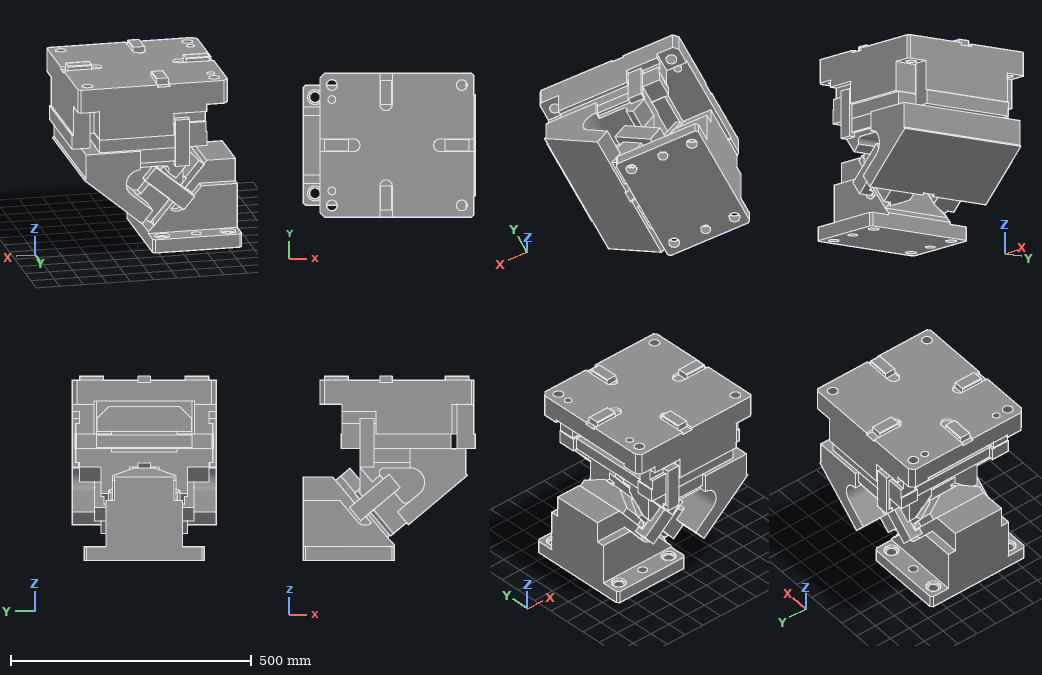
import cadquery as cq
import math

SLOPE_ANGLE = 50.0
COS_SLOPE = math.cos(math.radians(SLOPE_ANGLE))
SIN_SLOPE = math.sin(math.radians(SLOPE_ANGLE))
DOWN_SLOPE = (COS_SLOPE, 0, -SIN_SLOPE)
OUT_OF_SLOPE = (SIN_SLOPE, 0, COS_SLOPE)
SLOPE_PLANE = cq.Plane(origin=(0, 0, 0), xDir=DOWN_SLOPE, normal=OUT_OF_SLOPE)
REACH = 400.0


def slope_point(along, rise):
    """(x, z) of a point given in slope coordinates."""
    x = COS_SLOPE * along + SIN_SLOPE * rise
    z = COS_SLOPE * rise - SIN_SLOPE * along
    return (x, z)


def rise_at_x(rise, x):
    """(x, z) where the slope layer at this rise crosses the given x."""
    return (x, (rise - SIN_SLOPE * x) / COS_SLOPE)


def polar(center, radius, degrees):
    """(x, z) of a point on a circle in the XZ plane."""
    angle = math.radians(degrees)
    return (center[0] + radius * math.cos(angle), center[1] + radius * math.sin(angle))


def box(x0, x1, y0, y1, z0, z1):
    """Box between two corners."""
    return cq.Workplane().box(x1 - x0, y1 - y0, z1 - z0, centered=False).translate((x0, y0, z0))


def slope_box(along0, along1, y0, y1, rise0, rise1):
    """Box lined up with the slope."""
    plate = cq.Workplane(SLOPE_PLANE).center(along0, y0).workplane(offset=rise0)
    return plate.box(along1 - along0, y1 - y0, rise1 - rise0, centered=False)


def mirrored(shape):
    """The shape on the -Y side added to the one on the +Y side."""
    return shape.union(shape.mirror("XZ"))


def extrude_across(points, half_width):
    """XZ outline widened equally to both sides of the middle plane."""
    return cq.Workplane("XZ").polyline(points).close().extrude(half_width, both=True)


def extrude_along_slope(half_points, along0, along1):
    """Profile of (y, rise) points, mirrored in Y, drawn out along the slope."""
    points = half_points + [(-y, rise) for y, rise in reversed(half_points)]
    x, z = slope_point(along0, 0)
    plane = cq.Plane(origin=(x, 0, z), xDir=(0, 1, 0), normal=DOWN_SLOPE)
    return cq.Workplane(plane).polyline(points).close().extrude(along1 - along0)


RIDGE_START = -84.5
RIDGE_HALF = 66.0
RIDGE_BOTTOM = 159.0
RIDGE_SHOULDER = 173.5
ROOF_ANGLE = math.radians(30)
ROOF_TOP_HALF = 23.0


def roof_rise(y):
    """Rise of the ridge roof at a distance y from the middle plane."""
    return RIDGE_SHOULDER + (RIDGE_HALF - y) * math.tan(ROOF_ANGLE)


SLIDE_Z = 233.0
GUIDE_HALF = 141.75
GUIDE_INNER_HALF = 135.0
LEDGE_Z = 204.0
FRONT_X = 118.0
OUTER_HALF = 150.0

BASE_LENGTH = 190.0
BASE_PLATE_HALF = 125.0
BASE_PLATE_HEIGHT = 29.0
BASE_CORNER = 5.0
TOP_BLOCK_HALF = 61.5
TOP_BLOCK_HEIGHT = 174.0
LOW_BLOCK_HALF = 80.0
LOW_BLOCK_HEIGHT = 125.0
WIDE_RIDGE_START = -20.0
HOOK_POCKET_RADIUS = 20.0
HOOK_POCKET_CENTER = 11.4
RIDGE_END_X = 178.0
BASE_HOLE_INSET = 25.0
BASE_HOLE_Y = 100.0
BASE_BOLT_DIAMETER = 22.0
BASE_COUNTERBORE_DIAMETER = 31.0
BASE_COUNTERBORE_DEPTH = 5.0
BASE_DOWEL_X = 92.0
BASE_DOWEL_DIAMETER = 20.0


def ridge_profile(half_width):
    """One half of the ridge section, as (y, rise) points."""
    return [
        (half_width, RIDGE_BOTTOM),
        (half_width, roof_rise(half_width)),
        (ROOF_TOP_HALF, roof_rise(ROOF_TOP_HALF)),
    ]


def make_base():
    plate = box(0, BASE_LENGTH, -BASE_PLATE_HALF, BASE_PLATE_HALF, 0, BASE_PLATE_HEIGHT)
    plate = plate.edges("|Z").chamfer(BASE_CORNER)

    ridge_end = rise_at_x(roof_rise(LOW_BLOCK_HALF), RIDGE_END_X)
    slope_foot = (BASE_LENGTH, ridge_end[1] - (BASE_LENGTH - RIDGE_END_X))
    slope_start = rise_at_x(RIDGE_BOTTOM, RIDGE_END_X)
    top_x = (RIDGE_BOTTOM - COS_SLOPE * TOP_BLOCK_HEIGHT) / SIN_SLOPE
    top_block = extrude_across(
        [
            (0, 0),
            (BASE_LENGTH, 0),
            slope_foot,
            ridge_end,
            slope_start,
            (top_x, TOP_BLOCK_HEIGHT),
            (0, TOP_BLOCK_HEIGHT),
        ],
        TOP_BLOCK_HALF,
    )

    pocket_rise = RIDGE_BOTTOM - HOOK_POCKET_RADIUS
    pocket_center = slope_point(HOOK_POCKET_CENTER, RIDGE_BOTTOM)
    shoulder_x = (pocket_rise - COS_SLOPE * LOW_BLOCK_HEIGHT) / SIN_SLOPE
    low_block = (
        cq.Workplane("XZ")
        .moveTo(0, 0)
        .lineTo(BASE_LENGTH, 0)
        .lineTo(*slope_foot)
        .lineTo(*ridge_end)
        .lineTo(*slope_start)
        .lineTo(*slope_point(HOOK_POCKET_CENTER + HOOK_POCKET_RADIUS, RIDGE_BOTTOM))
        .threePointArc(
            polar(pocket_center, HOOK_POCKET_RADIUS, -SLOPE_ANGLE - 45),
            slope_point(HOOK_POCKET_CENTER, pocket_rise),
        )
        .lineTo(shoulder_x, LOW_BLOCK_HEIGHT)
        .lineTo(0, LOW_BLOCK_HEIGHT)
        .close()
        .extrude(LOW_BLOCK_HALF, both=True)
    )

    ridge = extrude_along_slope(ridge_profile(RIDGE_HALF), RIDGE_START, WIDE_RIDGE_START)
    wide_ridge = extrude_along_slope(ridge_profile(LOW_BLOCK_HALF), WIDE_RIDGE_START, REACH)
    ridge = ridge.union(wide_ridge)
    ridge = ridge.intersect(box(0, RIDGE_END_X, -REACH, REACH, 0, REACH))

    base = plate.union(top_block).union(low_block).union(ridge)

    bolts = [
        (x, y)
        for x in (BASE_HOLE_INSET, BASE_LENGTH - BASE_HOLE_INSET)
        for y in (-BASE_HOLE_Y, BASE_HOLE_Y)
    ]
    dowels = [(BASE_DOWEL_X, -BASE_HOLE_Y), (BASE_DOWEL_X, BASE_HOLE_Y)]
    on_plate = cq.Workplane().workplane(offset=BASE_PLATE_HEIGHT)
    sinks = on_plate.pushPoints(bolts).circle(BASE_COUNTERBORE_DIAMETER / 2).extrude(-BASE_COUNTERBORE_DEPTH)
    shanks = on_plate.pushPoints(bolts).circle(BASE_BOLT_DIAMETER / 2).extrude(-BASE_PLATE_HEIGHT)
    pins = on_plate.pushPoints(dowels).circle(BASE_DOWEL_DIAMETER / 2).extrude(-BASE_PLATE_HEIGHT)
    return base.cut(sinks).cut(shanks).cut(pins)


SLIDER_BACK_X = 338.7
SLIDER_NOSE_X = 342.0
WING_END = 84.0
WING_RISE = 215.5
WAIST_HALF = 90.0
WAIST_RISE = 180.3
WAIST_END = 78.0
SLOT_START = -33.0
SLOT_END = 48.5
SLOT_TOP_Z = 192.7
SLOT_RADIUS = 30.0
POCKET_RADIUS = 10.0
POCKET_RISE = 236.5
POCKET_LOW_Z = 119.8
POCKET_FLOOR = 60.0
RECESS_BOTTOM_Z = 150.0
PAD_START = -39.0
PAD_OUTER_HALF = 69.0
PAD_THICKNESS = 10.0
PAD_INNER_HALF = 31.0
GROOVE_RISE = 215.5
KEYWAY_HALF = 13.0
KEYWAY_RISE = 221.0
TOP_GROOVE_HALF = 68.5
TOP_GROOVE_DEPTH = 7.0
TOP_GROOVE_END_X = 300.0
CLAMP_START = -22.5
CLAMP_END = 13.5
CLAMP_OUTER = 103.0
CLAMP_LOW_RISE = 145.0
CLAMP_FOOT_RISE = 157.0
CLAMP_HIGH_RISE = 252.5
CLAMP_FOOT_HALF = 72.5
CLAMP_LOW_HALF = 84.0
CLAMP_HEAD_HALF = 82.0


def slider_body():
    nose = (SLIDER_NOSE_X, (COS_SLOPE * SLIDER_NOSE_X - WING_END) / SIN_SLOPE)
    nose_top = (SLIDER_BACK_X, nose[1] + SLIDER_NOSE_X - SLIDER_BACK_X)
    wings = extrude_across(
        [
            (FRONT_X, SLIDE_Z),
            (SLIDER_BACK_X, SLIDE_Z),
            nose_top,
            nose,
            slope_point(WING_END, WING_RISE),
            rise_at_x(WING_RISE, FRONT_X),
        ],
        OUTER_HALF,
    )
    waist = extrude_across(
        [
            rise_at_x(WING_RISE, FRONT_X),
            slope_point(WAIST_END, WING_RISE),
            slope_point(WAIST_END, WAIST_RISE),
            rise_at_x(WAIST_RISE, FRONT_X),
        ],
        WAIST_HALF,
    )
    return wings.union(waist)


def clamp_pocket_outline():
    """Outline of the pocket that holds the clamp heads, and the x where its large round meets its top."""
    along = SLOT_END - SLOT_RADIUS
    center_z = SLOT_TOP_Z - SLOT_RADIUS
    big = ((along + SIN_SLOPE * center_z) / COS_SLOPE, center_z)
    small_z = SLOT_TOP_Z - POCKET_RADIUS
    small = ((POCKET_RISE + POCKET_RADIUS - COS_SLOPE * small_z) / SIN_SLOPE, small_z)
    floor_angle = 270 - SLOPE_ANGLE
    low_wall_x = (SLOT_END + SIN_SLOPE * POCKET_LOW_Z) / COS_SLOPE
    low_floor_x = (POCKET_RISE - COS_SLOPE * POCKET_LOW_Z) / SIN_SLOPE
    outline = (
        cq.Workplane("XZ")
        .moveTo(low_wall_x, POCKET_LOW_Z)
        .lineTo(*polar(big, SLOT_RADIUS, -SLOPE_ANGLE))
        .threePointArc(polar(big, SLOT_RADIUS, (90 - SLOPE_ANGLE) / 2), polar(big, SLOT_RADIUS, 90))
        .lineTo(small[0], SLOT_TOP_Z)
        .threePointArc(
            polar(small, POCKET_RADIUS, (90 + floor_angle) / 2),
            polar(small, POCKET_RADIUS, floor_angle),
        )
        .lineTo(low_floor_x, POCKET_LOW_Z)
        .close()
    )
    return outline, big[0]


def make_slider():
    slider = slider_body()

    outline, recess_end_x = clamp_pocket_outline()
    pocket = outline.extrude(-REACH).intersect(box(0, REACH, POCKET_FLOOR, REACH, 0, REACH))
    slot_top_rise = (POCKET_LOW_Z + SIN_SLOPE * SLOT_END) / COS_SLOPE
    slot = slope_box(SLOT_START, SLOT_END, WAIST_HALF, REACH, WAIST_RISE, slot_top_rise)
    slider = slider.cut(mirrored(pocket.union(slot)))

    above_ledge = box(0, recess_end_x, GUIDE_HALF, REACH, LEDGE_Z, REACH)
    below_ledge = box(0, recess_end_x, GUIDE_INNER_HALF, REACH, RECESS_BOTTOM_Z, LEDGE_Z)
    slider = slider.cut(mirrored(above_ledge)).cut(mirrored(below_ledge))

    pad_edge = (
        PAD_OUTER_HALF + PAD_THICKNESS * math.sin(ROOF_ANGLE),
        roof_rise(PAD_OUTER_HALF) + PAD_THICKNESS * math.cos(ROOF_ANGLE),
    )
    pad_top = (PAD_INNER_HALF, roof_rise(PAD_INNER_HALF) + PAD_THICKNESS / math.cos(ROOF_ANGLE))
    pad_profile = [(PAD_OUTER_HALF, roof_rise(PAD_OUTER_HALF)), pad_edge, pad_top]
    slider = slider.cut(extrude_along_slope(pad_profile, -REACH, PAD_START))
    pads = extrude_along_slope(pad_profile, PAD_START, WAIST_END)
    groove = extrude_along_slope(
        [
            (PAD_OUTER_HALF, RIDGE_BOTTOM),
            (PAD_OUTER_HALF, roof_rise(PAD_OUTER_HALF)),
            (PAD_INNER_HALF, roof_rise(PAD_INNER_HALF)),
            (PAD_INNER_HALF, GROOVE_RISE),
            (KEYWAY_HALF, GROOVE_RISE),
            (KEYWAY_HALF, KEYWAY_RISE),
        ],
        -REACH,
        REACH,
    )
    slider = slider.union(pads).cut(groove)

    slider = slider.cut(
        box(0, TOP_GROOVE_END_X, -TOP_GROOVE_HALF, TOP_GROOVE_HALF, SLIDE_Z - TOP_GROOVE_DEPTH, REACH)
    )

    stem = slope_box(CLAMP_START, CLAMP_END, WAIST_HALF, CLAMP_OUTER, WAIST_RISE, CLAMP_HIGH_RISE)
    low_stem = slope_box(CLAMP_START, CLAMP_END, CLAMP_LOW_HALF, CLAMP_OUTER, CLAMP_LOW_RISE, WAIST_RISE)
    foot = slope_box(CLAMP_START, CLAMP_END, CLAMP_FOOT_HALF, CLAMP_OUTER, CLAMP_LOW_RISE, CLAMP_FOOT_RISE)
    head = slope_box(CLAMP_START, CLAMP_END, CLAMP_HEAD_HALF, CLAMP_OUTER, POCKET_RISE, CLAMP_HIGH_RISE)
    clamp = stem.union(low_stem).union(foot).union(head)
    return slider.union(mirrored(clamp))


HOLDER_FRONT_X = 35.0
HOLDER_BACK_X = 355.0
HOLDER_TOP_Z = 375.0
HOLDER_PLATE_Z = 325.0
FRONT_CORNER = 10.0
BACK_CORNER = 5.0
NECK_FRONT_X = 81.0
NECK_BACK_X = 310.0
GUIDE_TOP_Z = 263.0
GUIDE_FRONT_X = 79.0
GUIDE_BACK_X = 308.0
CHANNEL_HALF = 99.5
CHANNEL_MOUTH_HALF = 104.5
CHANNEL_TOP_Z = 331.5
CHANNEL_FLARE_X = 98.0
CHANNEL_BACK_X = 300.0
RAIL_FRONT_X = 88.0
RAIL_CLEARANCE = 1.7
COLUMN_FRONT_X = 320.0
COLUMN_HALF = 105.5
COLUMN_LIP_X = 358.48
STOP_HALF = 98.4
STOP_TOP_Z = 320.5
STOP_BOTTOM_Z = 268.5
STOP_CORNER = 25.0
STOP_THICKNESS = 10.0
CLIP_POCKET_BACK_X = 151.5
CLIP_POCKET_TOP_Z = 310.0
CLIP_SHELF_Z = 285.0
CLIP_WIDTH = 30.0
CLIP_TOP_Z = 295.5
CLIP_BOTTOM_Z = 194.5
CLIP_STEM_INNER = 143.3
CLIP_FOOT_INNER = 136.5
HOLE_FRONT_X = 60.0
HOLE_BACK_X = 330.0
HOLE_Y = 125.0
HOLE_DIAMETER = 22.0
DOWEL_Y = 95.0
DOWEL_DIAMETER = 16.0
KEY_WIDTH = 26.0
KEY_LENGTH = 50.0
KEY_TOP_Z = 384.0
KEY_CHAMFER = 1.5
KEYWAY_DEPTH = 5.0
KEY_CENTER_X = 172.5
END_SLOT_LENGTH = 83.5
END_KEY_SETBACK = 9.5
SIDE_SLOT_LENGTH = 78.0
SIDE_KEY_SETBACK = 15.5


def add_key(holder, edge, slot_length, setback, angle):
    """Round-ended slot running in from an edge of the plate, with a key in it.

    The edge is a distance from the crossing point of the keys, and the angle turns the slot about it.
    """
    floor_z = HOLDER_TOP_Z - KEYWAY_DEPTH
    half = KEY_WIDTH / 2
    round_x = edge - slot_length + half
    slot = box(round_x, edge, -half, half, floor_z, HOLDER_TOP_Z)
    slot_end = cq.Workplane().center(round_x, 0).workplane(offset=floor_z).circle(half).extrude(KEYWAY_DEPTH)
    key_end = edge - setback
    key = box(key_end - KEY_LENGTH, key_end, -half, half, floor_z, KEY_TOP_Z)
    key = key.edges(">Z and |X").chamfer(KEY_CHAMFER)

    def place(shape):
        return shape.rotate((0, 0, 0), (0, 0, 1), angle).translate((KEY_CENTER_X, 0, 0))

    return holder.cut(place(slot.union(slot_end))).union(place(key))


def make_holder():
    plate = box(HOLDER_FRONT_X, HOLDER_BACK_X, -OUTER_HALF, OUTER_HALF, HOLDER_PLATE_Z, HOLDER_TOP_Z)
    plate = plate.edges("|Z and <X").chamfer(FRONT_CORNER).edges("|Z and >X").chamfer(BACK_CORNER)
    neck = box(NECK_FRONT_X, NECK_BACK_X, -OUTER_HALF, OUTER_HALF, GUIDE_TOP_Z, HOLDER_PLATE_Z)
    holder = plate.union(neck)

    flare = CHANNEL_MOUTH_HALF - CHANNEL_HALF
    channel_half = [
        (HOLDER_FRONT_X, CHANNEL_MOUTH_HALF),
        (CHANNEL_FLARE_X, CHANNEL_MOUTH_HALF),
        (CHANNEL_FLARE_X + flare, CHANNEL_HALF),
        (CHANNEL_BACK_X, CHANNEL_HALF),
    ]
    channel_points = channel_half + [(x, -y) for x, y in reversed(channel_half)]
    channel = cq.Workplane().workplane(offset=GUIDE_TOP_Z).polyline(channel_points).close()
    holder = holder.cut(channel.extrude(CHANNEL_TOP_Z - GUIDE_TOP_Z))

    stop_front_x = CHANNEL_BACK_X - STOP_THICKNESS
    stop = box(stop_front_x, CHANNEL_BACK_X, -STOP_HALF, STOP_HALF, STOP_BOTTOM_Z, STOP_TOP_Z)
    stop = stop.edges("|X and >Z").chamfer(STOP_CORNER)
    holder = holder.union(stop)

    tie = box(NECK_BACK_X, COLUMN_FRONT_X, -CHANNEL_HALF, CHANNEL_HALF, GUIDE_TOP_Z, HOLDER_PLATE_Z)
    column = box(COLUMN_FRONT_X, HOLDER_BACK_X, -COLUMN_HALF, COLUMN_HALF, SLIDE_Z, HOLDER_PLATE_Z)
    lip = box(HOLDER_BACK_X, COLUMN_LIP_X, -COLUMN_HALF, COLUMN_HALF, SLIDE_Z, GUIDE_TOP_Z)
    holder = holder.union(tie).union(column).union(lip)

    notch_top = GUIDE_TOP_Z + TOP_GROOVE_DEPTH
    holder = holder.cut(
        box(CHANNEL_BACK_X, COLUMN_FRONT_X, -TOP_GROOVE_HALF, TOP_GROOVE_HALF, GUIDE_TOP_Z, notch_top)
    )

    deep = box(0, CLIP_POCKET_BACK_X, GUIDE_INNER_HALF, REACH, CLIP_SHELF_Z, CLIP_POCKET_TOP_Z)
    shallow = box(0, CLIP_POCKET_BACK_X, GUIDE_HALF, REACH, GUIDE_TOP_Z, CLIP_SHELF_Z)
    holder = holder.cut(mirrored(deep)).cut(mirrored(shallow))
    guide = box(GUIDE_FRONT_X, GUIDE_BACK_X, CHANNEL_HALF, GUIDE_HALF, SLIDE_Z, GUIDE_TOP_Z)
    rail = box(
        RAIL_FRONT_X,
        GUIDE_BACK_X,
        -CHANNEL_HALF,
        CHANNEL_HALF,
        SLIDE_Z + RAIL_CLEARANCE,
        GUIDE_TOP_Z - RAIL_CLEARANCE,
    )
    holder = holder.union(mirrored(guide)).union(rail)

    clip_back_x = FRONT_X + CLIP_WIDTH
    stem = box(FRONT_X, clip_back_x, CLIP_STEM_INNER, OUTER_HALF, CLIP_BOTTOM_Z, CLIP_TOP_Z)
    head = box(FRONT_X, clip_back_x, GUIDE_INNER_HALF, OUTER_HALF, CLIP_SHELF_Z, CLIP_TOP_Z)
    foot = box(FRONT_X, clip_back_x, CLIP_FOOT_INNER, OUTER_HALF, CLIP_BOTTOM_Z, LEDGE_Z)
    holder = holder.union(mirrored(stem.union(head).union(foot)))

    bolts = [(x, y) for x in (HOLE_FRONT_X, HOLE_BACK_X) for y in (-HOLE_Y, HOLE_Y)]
    dowels = [(HOLE_FRONT_X, -DOWEL_Y), (HOLE_FRONT_X, DOWEL_Y)]
    on_top = cq.Workplane().workplane(offset=HOLDER_TOP_Z)
    depth = HOLDER_TOP_Z - HOLDER_PLATE_Z
    holder = holder.cut(on_top.pushPoints(bolts).circle(HOLE_DIAMETER / 2).extrude(-depth))
    holder = holder.cut(on_top.pushPoints(dowels).circle(DOWEL_DIAMETER / 2).extrude(-depth))

    back_edge = HOLDER_BACK_X - KEY_CENTER_X
    front_edge = KEY_CENTER_X - HOLDER_FRONT_X
    holder = add_key(holder, back_edge, END_SLOT_LENGTH, END_KEY_SETBACK, 0)
    holder = add_key(holder, front_edge, END_SLOT_LENGTH, END_KEY_SETBACK, 180)
    for angle in (90, -90):
        holder = add_key(holder, OUTER_HALF, SIDE_SLOT_LENGTH, SIDE_KEY_SETBACK, angle)
    return holder


base = make_base()
slider = make_slider()
holder = make_holder()
result = cq.Compound.makeCompound([base.solids().val(), slider.solids().val(), holder.solids().val()])